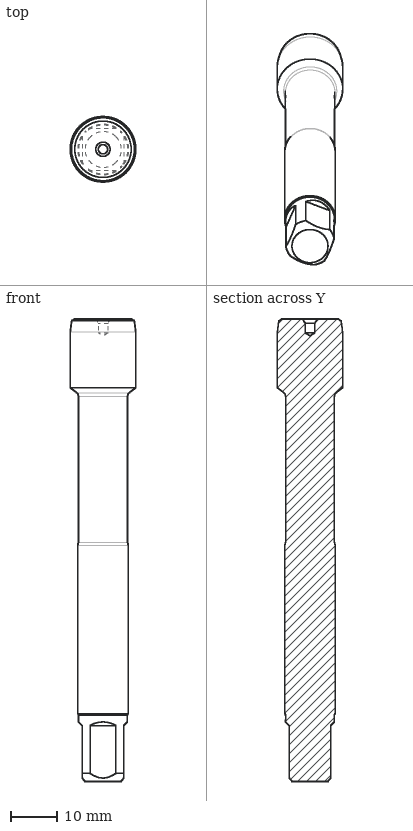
import cadquery as cq
import math

length = 100.0

head_radius = 14.2 / 2
head_rim_radius = 6.8
head_face_radius = 6.1
head_rim_z = length - 0.4
head_taper_z = length - 2.8
head_bottom_z = 85.1

neck_radius = 10.7 / 2
shoulder_angle = math.radians(37)
shoulder_fillet = 1.0

shank_radius = 11.0 / 2
shank_top_z = 51.1
shank_top_taper = 0.6
shank_bottom_z = 14.4
shank_bottom_chamfer = 0.3

end_radius = 10.6 / 2
square_width = 9.0
flat_top_z = 12.1
end_face_radius = 3.9
end_chamfer_height = 1.8

hole_diameter = 2.0
hole_depth = 3.0
countersink_diameter = 3.1
countersink_angle = math.radians(60)
drill_point_angle = math.radians(118)


def turned_body():
    """Revolve the stepped half profile about Z."""
    corner_z = head_bottom_z - (head_radius - neck_radius) * math.tan(shoulder_angle)
    tangent = shoulder_fillet * math.tan((math.pi / 2 - shoulder_angle) / 2)
    arc_start = (
        neck_radius + tangent * math.cos(shoulder_angle),
        corner_z + tangent * math.sin(shoulder_angle),
    )
    arc_end = (neck_radius, corner_z - tangent)
    middle_angle = (math.pi / 2 + shoulder_angle) / 2
    arc_middle = (
        neck_radius + shoulder_fillet * (1 - math.sin(middle_angle)),
        arc_end[1] + shoulder_fillet * math.cos(middle_angle),
    )

    profile = (
        cq.Workplane("XZ")
        .moveTo(0, 0)
        .lineTo(end_face_radius, 0)
        .lineTo(end_radius, end_chamfer_height)
        .lineTo(end_radius, shank_bottom_z)
        .lineTo(shank_radius, shank_bottom_z + shank_bottom_chamfer)
        .lineTo(shank_radius, shank_top_z)
        .lineTo(neck_radius, shank_top_z + shank_top_taper)
        .lineTo(*arc_end)
        .threePointArc(arc_middle, arc_start)
        .lineTo(head_radius, head_bottom_z)
        .lineTo(head_radius, head_taper_z)
        .lineTo(head_rim_radius, head_rim_z)
        .lineTo(head_face_radius, length)
        .lineTo(0, length)
        .close()
    )
    return profile.revolve(360, (0, 0), (0, 1))


def flat_cutter():
    """Material outside the +X flat, ending in a 45 degree run-out."""
    flat_x = square_width / 2
    cut_depth = shank_radius - flat_x
    return (
        cq.Workplane("XZ")
        .polyline([
            (flat_x, 0),
            (flat_x, flat_top_z),
            (flat_x + cut_depth, flat_top_z + cut_depth),
            (flat_x + cut_depth, 0),
        ])
        .close()
        .extrude(shank_radius, both=True)
    )


def centre_hole():
    """Countersunk hole with a drill point, as a solid to remove."""
    hole_radius = hole_diameter / 2
    countersink_radius = countersink_diameter / 2
    countersink_depth = (countersink_radius - hole_radius) / math.tan(countersink_angle / 2)
    point_depth = hole_radius / math.tan(drill_point_angle / 2)
    profile = (
        cq.Workplane("XZ")
        .polyline([
            (0, length),
            (countersink_radius, length),
            (hole_radius, length - countersink_depth),
            (hole_radius, length - hole_depth),
            (0, length - hole_depth - point_depth),
        ])
        .close()
    )
    return profile.revolve(360, (0, 0), (0, 1))


result = turned_body()
for angle in (0, 90, 180, 270):
    result = result.cut(flat_cutter().rotate((0, 0, 0), (0, 0, 1), angle))
result = result.cut(centre_hole())